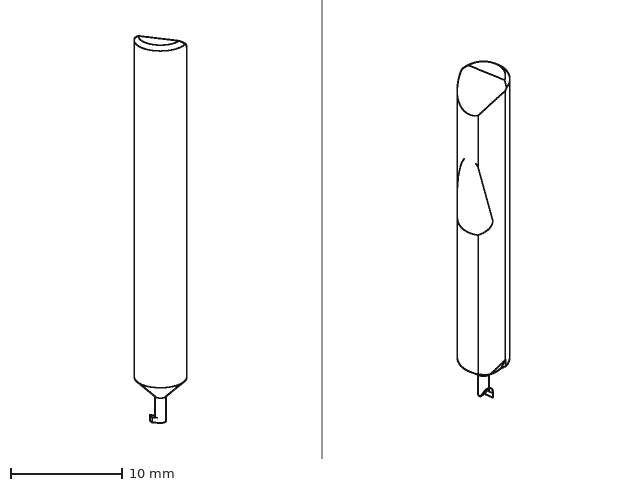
import math

import cadquery as cq

TOTAL_LENGTH = 38.1
SHANK_RADIUS = 4.76 / 2
TOP_CHAMFER = 0.4

NECK_RADIUS = 0.51
NECK_END_Z = 2.55
CONE_TOP_Z = NECK_END_Z + (SHANK_RADIUS - NECK_RADIUS)

BEVEL_START_Y = -0.5

FLAT_DISTANCE = 1.98
FLAT_AZIMUTH = 36.5

NOTCH_RAMP_TOP_Z = 30.05
NOTCH_BOTTOM_Z = 21.05
NOTCH_RAMP_ANGLE = 9.5
NOTCH_RADIUS = 1.2

TIP_X = -0.99
HEAD_TOP_Z = 0.55
HEAD_CORNER = (-0.63, -0.47)
NOSE_START_ANGLE = 22.0
HEAD_SIDE_END_X = 0.13

RELIEF_AZIMUTH = 15.0
RELIEF_ANGLE = 23.0
RELIEF_TIP_OFFSET = 0.1

END_RISE_ALONG_X = 3.0
END_RISE_ALONG_Y = 2.0

OVERSIZE = 10.0


def side_direction(azimuth):
    """Horizontal unit vector turned from -X towards +Y by the given degrees."""
    angle = math.radians(azimuth)
    return cq.Vector(-math.cos(angle), math.sin(angle), 0)


def make_blank():
    """Turned body: neck, cone, shank and top chamfer."""
    profile = [
        (0, 0),
        (-NECK_RADIUS, 0),
        (-NECK_RADIUS, NECK_END_Z),
        (-SHANK_RADIUS, CONE_TOP_Z),
        (-SHANK_RADIUS, TOTAL_LENGTH - TOP_CHAMFER),
        (-SHANK_RADIUS + TOP_CHAMFER, TOTAL_LENGTH),
        (0, TOTAL_LENGTH),
    ]
    return cq.Workplane("XZ").polyline(profile).close().revolve(360, (0, 0), (0, 1))


def make_top_bevel():
    """Wedge above the 45 degree plane at the shank end."""
    profile = [
        (BEVEL_START_Y, TOTAL_LENGTH),
        (BEVEL_START_Y + OVERSIZE, TOTAL_LENGTH - OVERSIZE),
        (BEVEL_START_Y + OVERSIZE, TOTAL_LENGTH),
    ]
    return cq.Workplane("YZ").polyline(profile).close().extrude(OVERSIZE, both=True)


def make_flat():
    """Block outside the orientation flat, over the full length."""
    normal = side_direction(FLAT_AZIMUTH)
    plane = cq.Plane(origin=normal * FLAT_DISTANCE, xDir=(0, 0, 1), normal=normal)
    return cq.Workplane(plane).rect(3 * TOTAL_LENGTH, OVERSIZE).extrude(OVERSIZE)


def make_notch():
    """Ramp, tangent round and level floor, cut across the +Y side."""
    angle = math.radians(NOTCH_RAMP_ANGLE)
    center_z = NOTCH_BOTTOM_Z + NOTCH_RADIUS
    drop = NOTCH_RAMP_TOP_Z - center_z
    center_y = SHANK_RADIUS - drop * math.tan(angle) + NOTCH_RADIUS / math.cos(angle)

    def on_round(turn):
        return (center_y - NOTCH_RADIUS * math.cos(turn), center_z - NOTCH_RADIUS * math.sin(turn))

    outer_y = SHANK_RADIUS + OVERSIZE
    return (
        cq.Workplane("YZ")
        .moveTo(SHANK_RADIUS, NOTCH_RAMP_TOP_Z)
        .lineTo(*on_round(-angle))
        .threePointArc(on_round(math.pi / 4), on_round(math.pi / 2))
        .lineTo(outer_y, NOTCH_BOTTOM_Z)
        .lineTo(outer_y, NOTCH_RAMP_TOP_Z)
        .close()
        .extrude(OVERSIZE, both=True)
    )


def make_head():
    """Hook that reaches from the neck to the tip, with its rake face at Y = 0."""
    side_end_y = -math.sqrt(NECK_RADIUS**2 - HEAD_SIDE_END_X**2)
    start = math.radians(NOSE_START_ANGLE)
    corner_x, corner_y = HEAD_CORNER
    chord = math.hypot(corner_x - TIP_X, corner_y)
    chord_angle = math.atan2(corner_x - TIP_X, -corner_y)
    bulge = chord / 2 * math.tan((chord_angle - start) / 2)
    nose_middle = (
        (TIP_X + corner_x) / 2 - bulge * math.cos(chord_angle),
        corner_y / 2 - bulge * math.sin(chord_angle),
    )
    return (
        cq.Workplane("XY")
        .moveTo(HEAD_SIDE_END_X, 0)
        .lineTo(TIP_X, 0)
        .threePointArc(nose_middle, HEAD_CORNER)
        .lineTo(HEAD_SIDE_END_X, side_end_y)
        .close()
        .extrude(HEAD_TOP_Z)
    )


def make_relief():
    """Space outside the slanted relief plane, kept to the +Y side of the rake face."""
    plane = cq.Plane(
        origin=(0, 0, 0),
        xDir=side_direction(RELIEF_AZIMUTH),
        normal=side_direction(RELIEF_AZIMUTH).cross(cq.Vector(0, 0, 1)),
    )
    rise = OVERSIZE / math.tan(math.radians(RELIEF_ANGLE))
    profile = [
        (RELIEF_TIP_OFFSET, 0),
        (RELIEF_TIP_OFFSET + OVERSIZE, rise),
        (RELIEF_TIP_OFFSET + OVERSIZE, 0),
    ]
    wedge = cq.Workplane(plane).polyline(profile).close().extrude(OVERSIZE, both=True)
    rake_side = cq.Workplane("XZ").rect(4 * OVERSIZE, 4 * rise).extrude(-2 * OVERSIZE)
    return wedge.intersect(rake_side)


def make_end_clearance():
    """Space below the end face, which rises from the tip towards +X and -Y."""
    normal = cq.Vector(
        math.tan(math.radians(END_RISE_ALONG_X)),
        -math.tan(math.radians(END_RISE_ALONG_Y)),
        -1,
    )
    plane = cq.Plane(origin=(TIP_X, 0, 0), xDir=(0, 1, 0), normal=normal)
    return cq.Workplane(plane).rect(OVERSIZE, OVERSIZE).extrude(OVERSIZE)


shank = make_blank().cut(make_top_bevel()).cut(make_flat()).cut(make_notch())
result = shank.cut(make_relief()).union(make_head()).cut(make_end_clearance())